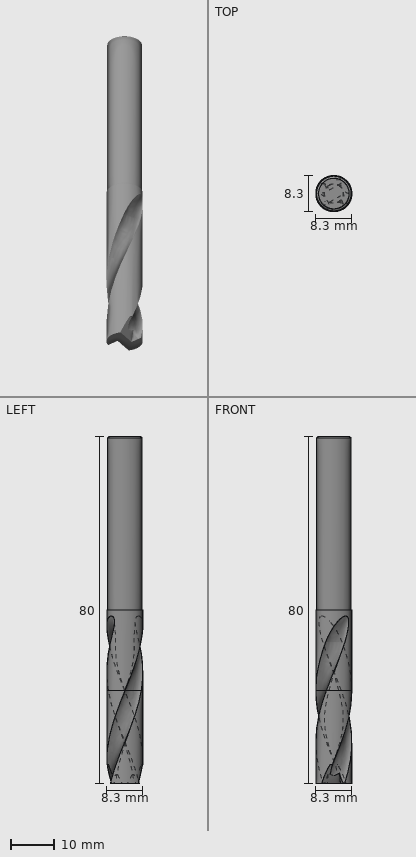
import cadquery as cq
import math

TOTAL_LENGTH = 80.0
CUTTER_DIAMETER = 8.3
SHANK_DIAMETER = 8.0
SHANK_START = 40.0
CUTTING_LENGTH = 21.4
END_CHAMFER_WIDTH = 0.5
END_CHAMFER_HEIGHT = 0.3

FLUTE_COUNT = 2
HELIX_ANGLE = 22.0
FLUTE_WIDTH_ANGLE = 65.0
FLUTE_START_ANGLE = 93.7
FLUTE_END = 32.6
RUNOUT_END = 38.6
RUNOUT_STEPS = 4
RUNOUT_EXPONENT = 1.5
CORE_RADIUS = 2.2
FLUTE_FLOOR = (
    (2.5, -1.3),
    (CORE_RADIUS, 0.5),
    (2.2, 1.3),
)
FLUTE_OVERRUN = 0.8
FLUTE_CLEARANCE = 0.6

GASH_HEEL = (-3.0, -3.1)
GASH_FOOT = (1.5, -0.6)
GASH_FACE_EDGE = (2.5, -3.3)
GASH_REACH = 6.4
GASH_HEIGHT = 4.5
GASH_LEAN = (-0.4, -2.4)

CUTTER_RADIUS = CUTTER_DIAMETER / 2
SHANK_RADIUS = SHANK_DIAMETER / 2
LEAD = math.pi * CUTTER_DIAMETER / math.tan(math.radians(HELIX_ANGLE))
TWIST_RATE = 360.0 / LEAD
FLUTE_SPACING = 360.0 / FLUTE_COUNT


def flute_profile(height, angle, lift):
    """Flute section turned to an angle at a height, moved outward by lift."""
    half_angle = math.radians(FLUTE_WIDTH_ANGLE / 2)
    edge_side = CUTTER_RADIUS * math.sin(half_angle)
    edge_radial = CUTTER_RADIUS * math.cos(half_angle) + lift
    outside = CUTTER_RADIUS + FLUTE_CLEARANCE + lift
    floor = [(radial + lift, side) for radial, side in FLUTE_FLOOR] + [(edge_radial, edge_side)]
    plane = cq.Plane(
        origin=(0, 0, height),
        xDir=(math.cos(math.radians(angle)), math.sin(math.radians(angle)), 0),
        normal=(0, 0, 1),
    )
    return (
        cq.Workplane(plane)
        .moveTo(outside, -edge_side)
        .lineTo(edge_radial, -edge_side)
        .spline(floor, includeCurrent=True)
        .lineTo(outside, edge_side)
        .close()
    )


def flute_runout():
    """Continuation of the helix whose section rises to the surface."""
    wires = []
    for step in range(RUNOUT_STEPS + 1):
        fraction = step / RUNOUT_STEPS
        height = FLUTE_END + fraction * (RUNOUT_END - FLUTE_END)
        lift = fraction ** RUNOUT_EXPONENT * (CUTTER_RADIUS - CORE_RADIUS)
        angle = FLUTE_START_ANGLE + height * TWIST_RATE
        wires.append(flute_profile(height, angle, lift).val())
    return cq.Workplane(cq.Solid.makeLoft(wires))


def end_gash():
    """Leaning wedge that relieves the heel of the flute facing -Y."""
    points = [
        GASH_HEEL,
        GASH_FOOT,
        GASH_FACE_EDGE,
        (GASH_FACE_EDGE[0], -GASH_REACH),
        (-GASH_REACH, -GASH_REACH),
    ]
    outline = cq.Wire.makePolygon([cq.Vector(x, y, 0) for x, y in points], close=True)
    lean = cq.Vector(*GASH_LEAN, GASH_HEIGHT)
    return cq.Workplane(cq.Solid.extrudeLinear(outline, [], lean))


def around_axis(tool):
    """One copy of a cutting tool for every flute."""
    return [tool.rotate((0, 0, 0), (0, 0, 1), i * FLUTE_SPACING) for i in range(FLUTE_COUNT)]


def helical_flute(start, end):
    """Full-depth flute between two heights."""
    angle = FLUTE_START_ANGLE + start * TWIST_RATE
    length = end - start
    return flute_profile(start, angle, 0).twistExtrude(length, length * TWIST_RATE)


def make_cutting_body():
    """Fluted tip with its end gashes."""
    body = cq.Workplane("XY").circle(CUTTER_RADIUS).extrude(CUTTING_LENGTH)
    flute = helical_flute(-FLUTE_OVERRUN, CUTTING_LENGTH + FLUTE_OVERRUN)
    for tool in around_axis(flute) + around_axis(end_gash()):
        body = body.cut(tool)
    return body


def make_holder_body():
    """Upper head with the flute ends, and the chamfered shank."""
    chamfer_radius = SHANK_RADIUS - END_CHAMFER_WIDTH
    body = (
        cq.Workplane("XZ")
        .moveTo(0, CUTTING_LENGTH)
        .lineTo(CUTTER_RADIUS, CUTTING_LENGTH)
        .lineTo(CUTTER_RADIUS, SHANK_START)
        .lineTo(SHANK_RADIUS, SHANK_START)
        .lineTo(SHANK_RADIUS, TOTAL_LENGTH - END_CHAMFER_HEIGHT)
        .lineTo(chamfer_radius, TOTAL_LENGTH)
        .lineTo(0, TOTAL_LENGTH)
        .close()
        .revolve(360, (0, 0, 0), (0, 1, 0))
    )
    flute = helical_flute(CUTTING_LENGTH - FLUTE_OVERRUN, FLUTE_END)
    for tool in around_axis(flute) + around_axis(flute_runout()):
        body = body.cut(tool)
    return body


cutting_body = make_cutting_body()
holder_body = make_holder_body()
result = cq.Compound.makeCompound([cutting_body.val(), holder_body.val()])